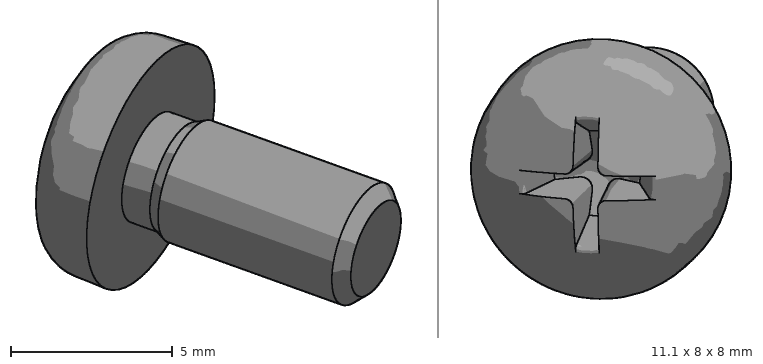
import cadquery as cq
import math


head_diameter = 8.0
head_height = 3.1
dome_radius = 6.5
rim_draft = 2.0
rim_round_radius = 1.3

shank_length = 8.0
shank_diameter = 4.0
neck_diameter = 3.62
neck_length = 1.0
neck_cone_length = 0.4
tip_chamfer = 0.43

slot_width = 0.79
slot_draft = 4.2
slot_corner_radius = 0.26
bowl_mouth_radius = 2.02
bowl_floor_radius = 1.354
bowl_wall_angle = 22.0
bowl_floor_angle = 28.0
bowl_lip_radius = 0.16


def tan_deg(angle):
    return math.tan(math.radians(angle))


def dome_x(radius):
    """X of the dome surface at a distance from the screw axis."""
    return dome_radius - head_height - math.sqrt(dome_radius**2 - radius**2)


def revolve_about_x(profile):
    return profile.close().revolve(360, (0, 0, 0), (1, 0, 0))


def make_head():
    """Drafted disc under a spherical dome, with the edge between them rounded."""
    rim_radius = head_diameter / 2
    disc_profile = (
        cq.Workplane("XY")
        .lineTo(0, rim_radius)
        .lineTo(-head_height, rim_radius - head_height * tan_deg(rim_draft))
        .lineTo(-head_height, 0)
    )
    dome_ball = cq.Workplane("XY").sphere(dome_radius).translate((dome_radius - head_height, 0, 0))
    head = revolve_about_x(disc_profile).intersect(dome_ball)
    return head.edges("%CIRCLE").edges("<X").fillet(rim_round_radius)


def make_shank():
    """Plain neck, conical step up to full diameter, and a chamfered tip."""
    neck_radius = neck_diameter / 2
    shank_radius = shank_diameter / 2
    profile = (
        cq.Workplane("XY")
        .lineTo(0, neck_radius)
        .lineTo(neck_length, neck_radius)
        .lineTo(neck_length + neck_cone_length, shank_radius)
        .lineTo(shank_length - tip_chamfer, shank_radius)
        .lineTo(shank_length, shank_radius - tip_chamfer)
        .lineTo(shank_length, 0)
    )
    return revolve_about_x(profile)


bowl_mouth_x = dome_x(bowl_mouth_radius)
bowl_floor_x = bowl_mouth_x + (bowl_mouth_radius - bowl_floor_radius) / tan_deg(bowl_wall_angle)
bowl_bottom_x = bowl_floor_x + bowl_floor_radius * tan_deg(bowl_floor_angle)


def cut_bowl(head):
    """Head with a round conical bowl that sets the arm ends, the floor and the rounded lip."""
    outside_x = -2 * head_height
    wall_run = bowl_mouth_x - outside_x
    profile = (
        cq.Workplane("XY")
        .moveTo(bowl_bottom_x, 0)
        .lineTo(bowl_floor_x, bowl_floor_radius)
        .lineTo(outside_x, bowl_mouth_radius + wall_run * tan_deg(bowl_wall_angle))
        .lineTo(outside_x, 0)
    )
    bowled = head.cut(revolve_about_x(profile))
    lip = cq.selectors.NearestToPointSelector((bowl_mouth_x, 0, 0))
    return bowled.edges(lip).fillet(bowl_lip_radius)


def make_cross():
    """Cross with drafted walls; its inner corners are cones that widen with depth."""
    start_x = -head_height
    inner_corners = cq.selectors.BoxSelector(
        (-slot_width, -slot_width, -slot_width), (slot_width, slot_width, slot_width)
    )
    cross_outline = (
        cq.Workplane("YZ", origin=(start_x, 0, 0))
        .sketch()
        .rect(head_diameter, slot_width)
        .rect(slot_width, head_diameter)
        .clean()
        .vertices(inner_corners)
        .fillet(slot_corner_radius)
        .finalize()
    )
    return cross_outline.extrude(bowl_bottom_x - start_x, taper=slot_draft)


def make_recessed_head():
    """Material stays wherever either the bowl or the cross leaves it."""
    head = make_head()
    return cut_bowl(head).union(head.cut(make_cross()))


result = make_recessed_head().union(make_shank())